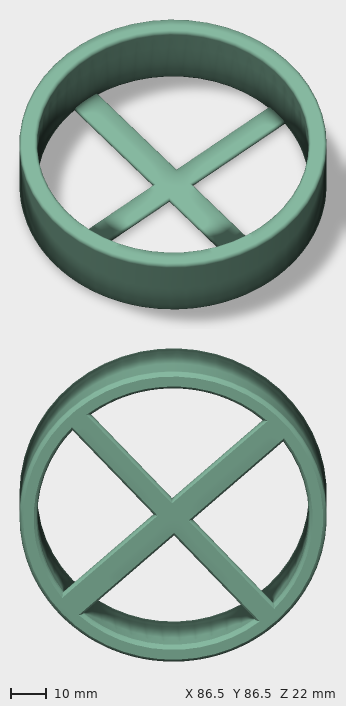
import cadquery as cq

outer_diameter = 86.5
inner_diameter = 76.5
height = 22.0
rim_edge_size = 1.0

x_bar_width = 8.5
y_bar_width = 7.0
bar_thickness = 2.0
bar_edge_size = 0.8
bar_length = (outer_diameter + inner_diameter) / 2


def edges_at_height(body, z):
    """Select the edges that lie flat at height z."""
    tolerance = 0.01
    reach = outer_diameter
    lower_corner = (-reach, -reach, z - tolerance)
    upper_corner = (reach, reach, z + tolerance)
    return body.edges(cq.selectors.BoxSelector(lower_corner, upper_corner, boundingbox=True))


def make_ring():
    """Ring with rounded top rims and chamfered base rims blended into the walls."""
    ring = cq.Workplane("XY").circle(outer_diameter / 2).circle(inner_diameter / 2).extrude(height)
    ring = ring.faces("<Z").edges().chamfer(rim_edge_size)
    ring = edges_at_height(ring, rim_edge_size).fillet(rim_edge_size)
    return ring.faces(">Z").edges().fillet(rim_edge_size)


def make_bar(width):
    """Bar along X with rounded upper edges and chamfered lower edges blended into its sides."""
    bar = cq.Workplane("XY").box(bar_length, width, bar_thickness, centered=(True, True, False))
    bar = bar.faces("<Z").edges("|X").chamfer(bar_edge_size)
    bar = edges_at_height(bar.faces("|Y"), bar_edge_size).edges("|X").fillet(bar_edge_size)
    return bar.faces(">Z").edges("|X").fillet(bar_edge_size)


x_bar = make_bar(x_bar_width)
y_bar = make_bar(y_bar_width).rotate((0, 0, 0), (0, 0, 1), 90)
result = make_ring().union(x_bar.union(y_bar))